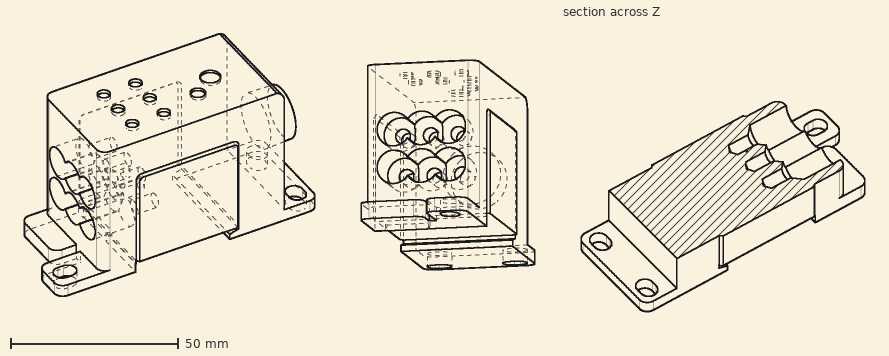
import cadquery as cq

LENGTH = 89.5
Y_BACK = LENGTH / 2
Y_FRONT = -LENGTH / 2

BODY_WIDTH = 34.4
BODY_HEIGHT = 48.4
BODY_LENGTH = 63.3
BACK_FOOT_LENGTH = 11.7
CORNER_RADIUS = 2.95
TOP_EDGE_RADIUS = 4.0
TOP_EDGE_TRIM = 0.3
X_SIDE = BODY_WIDTH / 2
Y_BODY_BACK = Y_BACK - BACK_FOOT_LENGTH
Y_BODY_FRONT = Y_BODY_BACK - BODY_LENGTH

FOOT_HEIGHT = 4.0
SCREW_TAB_WIDTH = 12.5
CLIP_TAB_WIDTH = 19.6
CLIP_TAB_LENGTH = 8.0
CLIP_TAB_HEIGHT = 5.1
SLOT_LENGTH = 7.3
SLOT_WIDTH = 5.5
BACK_SLOT_X = 11.6
BACK_SLOT_INSET = 4.65
FRONT_SLOT_X = 11.0
FRONT_SLOT_INSET = 5.55

CHANNEL_LENGTH = 35.4
Y_CHANNEL_BACK = 17.3
Y_CHANNEL_FRONT = Y_CHANNEL_BACK - CHANNEL_LENGTH
BACK_HOOK_REACH = 3.1
BACK_HOOK_ROOT_Z = 2.9
BACK_HOOK_TIP_Z = 1.9
CLIP_HOOK_REACH = 2.3
CLIP_HOOK_ROOT_Z = 3.0
CLIP_HOOK_TIP_Z = 2.3
CLIP_HOOK_INSET = 3.1
CLIP_RELIEF = 0.2

PANEL_THICKNESS = 0.8
PANEL_TOP_Z = 36.0
PANEL_CORNER_RADIUS = 2.0
PANEL_TAPER = 45.0

INLET_Z = 26.0
INLET_LENGTH = 8.95
INLET_BASE_RADIUS = 8.9
INLET_END_RADIUS = 8.6

COLUMN_PITCH = 8.5
LOWER_ROW_Z = 17.0
UPPER_ROW_Z = 28.5
TERMINAL_RADIUS = 5.1
LOWER_ROW_DEPTH = 13.4
UPPER_ROW_DEPTH = 8.95
FUNNEL_DEPTH = 2.9
WIRE_RADIUS = 2.2
WIRE_DEPTH = 7.2
WIRE_TIP_DEPTH = 1.3

SMALL_SCREW_RADIUS = 2.0
SMALL_SCREW_DEPTH = 1.2
SMALL_SCREW_ROWS_Y = (-3.6, -14.5)
MEDIUM_SCREW_RADIUS = 2.3
MEDIUM_SCREW_DEPTH = 0.9
MEDIUM_SCREW_CENTRE = (5.1, 10.1)
LARGE_SCREW_RADIUS = 3.1
LARGE_SCREW_DEPTH = 0.8
LARGE_SCREW_CENTRE = (0, 17.4)

COLUMNS_X = (-COLUMN_PITCH, 0, COLUMN_PITCH)


def block(x_min, x_max, y_min, y_max, height):
    """Box standing on the mounting plane."""
    size = (x_max - x_min, y_max - y_min, height)
    return cq.Workplane("XY").box(*size, centered=False).translate((x_min, y_min, 0))


def housing():
    """Round-cornered block; the flat top trims the last of its rounded upper back edge."""
    body = block(-X_SIDE, X_SIDE, Y_BODY_FRONT, Y_BODY_BACK, BODY_HEIGHT + TOP_EDGE_TRIM)
    body = body.edges("|Z and <Y").fillet(CORNER_RADIUS)
    body = body.edges(">Z and >Y").fillet(TOP_EDGE_RADIUS)
    return body.intersect(block(-X_SIDE, X_SIDE, Y_BODY_FRONT, Y_BODY_BACK, BODY_HEIGHT))


def feet():
    """Back foot, front screw tab and front clip tab; each runs under the housing."""
    y_root = Y_BODY_FRONT + CORNER_RADIUS
    y_clip_front = Y_BODY_FRONT - CLIP_TAB_LENGTH
    back = block(-X_SIDE, X_SIDE, Y_CHANNEL_BACK, Y_BACK, FOOT_HEIGHT)
    screw_tab = block(X_SIDE - SCREW_TAB_WIDTH, X_SIDE, Y_FRONT, y_root, FOOT_HEIGHT)
    clip_tab = block(-X_SIDE, CLIP_TAB_WIDTH - X_SIDE, y_clip_front, y_root, CLIP_TAB_HEIGHT)
    return (
        back.edges("|Z and >Y").fillet(CORNER_RADIUS)
        .union(screw_tab.edges("|Z and <Y").fillet(CORNER_RADIUS))
        .union(clip_tab.edges("|Z and <Y").fillet(CORNER_RADIUS))
    )


def foot_slots():
    back_points = [(x, Y_BACK - BACK_SLOT_INSET) for x in (-BACK_SLOT_X, BACK_SLOT_X)]
    back = cq.Workplane("XY").pushPoints(back_points).slot2D(SLOT_LENGTH, SLOT_WIDTH)
    front = cq.Workplane("XY").center(FRONT_SLOT_X, Y_FRONT + FRONT_SLOT_INSET)
    front = front.slot2D(SLOT_LENGTH, SLOT_WIDTH, 90)
    return back.extrude(FOOT_HEIGHT).union(front.extrude(FOOT_HEIGHT))


def rail_channel():
    """Channel between the feet, undercut below the back hook and relieved around the clip."""
    return (
        cq.Workplane("YZ", origin=(-X_SIDE, 0, 0))
        .moveTo(Y_CHANNEL_FRONT - CLIP_RELIEF, 0)
        .lineTo(Y_CHANNEL_FRONT - CLIP_RELIEF, CLIP_HOOK_ROOT_Z)
        .lineTo(Y_CHANNEL_FRONT, CLIP_HOOK_ROOT_Z)
        .lineTo(Y_CHANNEL_FRONT, FOOT_HEIGHT)
        .lineTo(Y_CHANNEL_BACK, FOOT_HEIGHT)
        .lineTo(Y_CHANNEL_BACK, BACK_HOOK_ROOT_Z)
        .lineTo(Y_CHANNEL_BACK - BACK_HOOK_REACH, BACK_HOOK_TIP_Z)
        .lineTo(Y_CHANNEL_BACK - BACK_HOOK_REACH, 0)
        .close()
        .extrude(BODY_WIDTH)
    )


def clip_hook():
    """Catch in line with the clip tab, pointing back into the rail channel."""
    profile = [
        (Y_CHANNEL_FRONT - CLIP_RELIEF, 0),
        (Y_CHANNEL_FRONT, 0),
        (Y_CHANNEL_FRONT + CLIP_HOOK_REACH, CLIP_HOOK_TIP_Z),
        (Y_CHANNEL_FRONT, CLIP_HOOK_ROOT_Z),
        (Y_CHANNEL_FRONT - CLIP_RELIEF, CLIP_HOOK_ROOT_Z),
    ]
    hook = cq.Workplane("YZ", origin=(CLIP_HOOK_INSET - X_SIDE, 0, 0))
    return hook.polyline(profile).close().extrude(CLIP_TAB_WIDTH - 2 * CLIP_HOOK_INSET)


def side_panel():
    """Bevelled panel on the +X side: a rounded pad cut off level with the channel roof."""
    y_middle = (Y_CHANNEL_BACK + Y_CHANNEL_FRONT) / 2
    base = cq.Sketch().rect(CHANNEL_LENGTH, 2 * PANEL_TOP_Z).vertices().fillet(PANEL_CORNER_RADIUS)
    pad = cq.Workplane("YZ", origin=(X_SIDE, y_middle, 0)).placeSketch(base)
    pad = pad.extrude(PANEL_THICKNESS, taper=PANEL_TAPER)
    above_channel = block(0, BODY_WIDTH, Y_FRONT, Y_BACK, BODY_HEIGHT).translate((0, 0, FOOT_HEIGHT))
    return pad.intersect(above_channel)


def cable_inlet():
    taper_profile = [
        (0, Y_BODY_BACK),
        (INLET_BASE_RADIUS, Y_BODY_BACK),
        (INLET_END_RADIUS, Y_BODY_BACK + INLET_LENGTH),
        (0, Y_BODY_BACK + INLET_LENGTH),
    ]
    inlet = cq.Workplane("XY").polyline(taper_profile).close().revolve(360, (0, 0), (0, 1))
    return inlet.translate((0, 0, INLET_Z))


def terminal_opening(bore_depth):
    """Wide bore, funnel, wire bore and drill point, from the front face inwards."""
    y_funnel = Y_BODY_FRONT + bore_depth
    y_wire = y_funnel + FUNNEL_DEPTH
    y_wire_end = y_wire + WIRE_DEPTH
    profile = [
        (0, Y_BODY_FRONT),
        (TERMINAL_RADIUS, Y_BODY_FRONT),
        (TERMINAL_RADIUS, y_funnel),
        (WIRE_RADIUS, y_wire),
        (WIRE_RADIUS, y_wire_end),
        (0, y_wire_end + WIRE_TIP_DEPTH),
    ]
    return cq.Workplane("XY").polyline(profile).close().revolve(360, (0, 0), (0, 1))


def screw_openings(centres, radius, depth):
    top = cq.Workplane("XY", origin=(0, 0, BODY_HEIGHT))
    return top.pushPoints(centres).circle(radius).extrude(-depth)


panel = side_panel()
result = housing().union(feet()).cut(foot_slots()).cut(rail_channel())
result = result.union(clip_hook()).union(panel).union(panel.mirror("YZ")).union(cable_inlet())

for row_z, bore_depth in ((LOWER_ROW_Z, LOWER_ROW_DEPTH), (UPPER_ROW_Z, UPPER_ROW_DEPTH)):
    for column_x in COLUMNS_X:
        result = result.cut(terminal_opening(bore_depth).translate((column_x, 0, row_z)))

small_centres = [(x, y) for y in SMALL_SCREW_ROWS_Y for x in COLUMNS_X]
result = result.cut(screw_openings(small_centres, SMALL_SCREW_RADIUS, SMALL_SCREW_DEPTH))
result = result.cut(screw_openings([MEDIUM_SCREW_CENTRE], MEDIUM_SCREW_RADIUS, MEDIUM_SCREW_DEPTH))
result = result.cut(screw_openings([LARGE_SCREW_CENTRE], LARGE_SCREW_RADIUS, LARGE_SCREW_DEPTH))